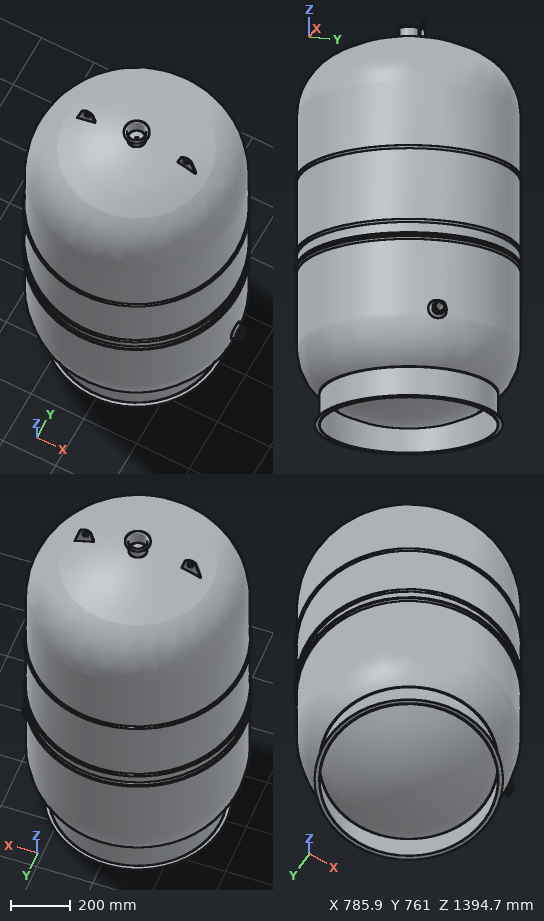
import cadquery as cq
import math

HEIGHT = 1394.67
SHELL_RADIUS = 750 / 2
SHELL_BOTTOM = 271.0
SHELL_TOP = 1087.0
DISH_HEIGHT = 255.0
KNUCKLE_RADIUS = 213.0
VESSEL_TOP = SHELL_TOP + DISH_HEIGHT
VESSEL_BOTTOM = SHELL_BOTTOM - DISH_HEIGHT

KNUCKLE_CENTRE = SHELL_RADIUS - KNUCKLE_RADIUS
CROWN_RADIUS = (KNUCKLE_CENTRE**2 + DISH_HEIGHT**2 - KNUCKLE_RADIUS**2) / (
    2 * (DISH_HEIGHT - KNUCKLE_RADIUS)
)
CROWN_HALF_ANGLE = math.asin(KNUCKLE_CENTRE / (CROWN_RADIUS - KNUCKLE_RADIUS))

BEAD_RADIUS = 5.5
BEAD_HEIGHTS = (597.0, 857.0)
SEAM_HEIGHT = 544.0
SEAM_WIDTH = 24.0
SEAM_RIM_WIDTH = 7.0
SEAM_RIM_RISE = BEAD_RADIUS

SKIRT_RADIUS = 600.01 / 2
SKIRT_WALL = 2.0
SKIRT_FLANGE_RADIUS = 630.01 / 2
SKIRT_FLANGE_THICKNESS = 2.0

NECK_RADIUS = 65.34 / 2
NECK_WALL = 1.0
NECK_BORE_RADIUS = NECK_RADIUS - NECK_WALL
LIP_RADIUS = 86.81 / 2
NECK_TAPER_TOP = 1355.0
NECK_TAPER = 1.0

VALVE_SEAT_RADIUS = 12.26 / 2
VALVE_SEAT_DEPTH = 4.0
VALVE_BORE_RADIUS = 8 / 2
VALVE_BORE_DEPTH = 20.0

LUG_OFFSET = 187.0
LUG_EYE_HEIGHT = 1344.0
LUG_THICKNESS = 5.0
LUG_EYE_RADIUS = 18 / 2
LUG_HEAD_RADIUS = 22.0
LUG_FLANK_ANGLE = math.radians(16)
LUG_DEPTH = 70.0

PORT_HEIGHT = 289.0
PORT_REACH = 30.4
PORT_RADIUS = 41.91 / 2
PORT_BORE_RADIUS = 30.25 / 2
PORT_BORE_DEPTH = 60.0
COLLAR_RADIUS = 32.0
COLLAR_LENGTH = 11.0
THREAD_PITCH = 2.309
THREAD_DEPTH = 1.479
THREAD_COUNT = 8


def head_point(centre_radius, arc_radius, angle):
    """Radius and rise of a point on a head arc, at an angle measured from the vessel axis."""
    return centre_radius + arc_radius * math.sin(angle), arc_radius * math.cos(angle)


def crown_height(radius):
    """Height of the upper crown at a distance from the vessel axis."""
    return VESSEL_TOP - CROWN_RADIUS + math.sqrt(CROWN_RADIUS**2 - radius**2)


def make_vessel_blank():
    """Solid of revolution of the shell and both dished heads."""
    joint_radius, joint_rise = head_point(KNUCKLE_CENTRE, KNUCKLE_RADIUS, CROWN_HALF_ANGLE)
    knuckle_radius, knuckle_rise = head_point(
        KNUCKLE_CENTRE, KNUCKLE_RADIUS, (CROWN_HALF_ANGLE + math.pi / 2) / 2
    )
    crown_radius, crown_rise = head_point(0, CROWN_RADIUS, CROWN_HALF_ANGLE / 2)
    crown_rise += DISH_HEIGHT - CROWN_RADIUS
    return (
        cq.Workplane("XZ")
        .moveTo(0, VESSEL_BOTTOM)
        .threePointArc((crown_radius, SHELL_BOTTOM - crown_rise), (joint_radius, SHELL_BOTTOM - joint_rise))
        .threePointArc((knuckle_radius, SHELL_BOTTOM - knuckle_rise), (SHELL_RADIUS, SHELL_BOTTOM))
        .lineTo(SHELL_RADIUS, SHELL_TOP)
        .threePointArc((knuckle_radius, SHELL_TOP + knuckle_rise), (joint_radius, SHELL_TOP + joint_rise))
        .threePointArc((crown_radius, SHELL_TOP + crown_rise), (0, VESSEL_TOP))
        .close()
        .revolve(360, (0, 0, 0), (0, 1, 0))
    )


def make_bead(height):
    """Half-round bead around the shell."""
    return (
        cq.Workplane("XZ")
        .moveTo(0, height - BEAD_RADIUS)
        .lineTo(SHELL_RADIUS, height - BEAD_RADIUS)
        .threePointArc((SHELL_RADIUS + BEAD_RADIUS, height), (SHELL_RADIUS, height + BEAD_RADIUS))
        .lineTo(0, height + BEAD_RADIUS)
        .close()
        .revolve(360, (0, 0, 0), (0, 1, 0))
    )


def make_seam():
    """Raised seam band with conical flanks that lead up to a flat rim."""
    half = SEAM_WIDTH / 2
    rim_half = SEAM_RIM_WIDTH / 2
    rim_radius = SHELL_RADIUS + SEAM_RIM_RISE
    return (
        cq.Workplane("XZ", origin=(0, 0, SEAM_HEIGHT))
        .moveTo(0, -half)
        .lineTo(SHELL_RADIUS, -half)
        .lineTo(rim_radius, -rim_half)
        .lineTo(rim_radius, rim_half)
        .lineTo(SHELL_RADIUS, half)
        .lineTo(0, half)
        .close()
        .revolve(360, (0, 0, 0), (0, 1, 0))
    )


def make_port():
    """Threaded stub with a conical collar, reaching from inside the shell along +X."""
    tip = SHELL_RADIUS + PORT_REACH
    root_radius = PORT_RADIUS - THREAD_DEPTH
    thread_start = tip - THREAD_COUNT * THREAD_PITCH
    inner_end = SHELL_RADIUS - PORT_BORE_DEPTH
    outline = (
        cq.Workplane("XY", origin=(0, 0, PORT_HEIGHT))
        .moveTo(inner_end, 0)
        .lineTo(inner_end, COLLAR_RADIUS)
        .lineTo(SHELL_RADIUS, COLLAR_RADIUS)
        .lineTo(SHELL_RADIUS + COLLAR_LENGTH, PORT_RADIUS)
        .lineTo(thread_start, PORT_RADIUS)
    )
    for turn in range(THREAD_COUNT):
        crest = thread_start + turn * THREAD_PITCH
        outline = outline.lineTo(crest + THREAD_PITCH / 2, root_radius)
        outline = outline.lineTo(crest + THREAD_PITCH, PORT_RADIUS)
    return outline.lineTo(tip, 0).close().revolve(360, (0, 0, 0), (1, 0, 0))


def make_vessel():
    vessel = make_vessel_blank()
    for height in BEAD_HEIGHTS:
        vessel = vessel.union(make_bead(height))
    vessel = vessel.union(make_seam()).union(make_port())
    port_bore = (
        cq.Workplane("YZ", origin=(SHELL_RADIUS + PORT_REACH, 0, PORT_HEIGHT))
        .circle(PORT_BORE_RADIUS)
        .extrude(-PORT_REACH - PORT_BORE_DEPTH)
    )
    crown = cq.Workplane("XY", origin=(0, 0, VESSEL_TOP))
    valve_seat = crown.circle(VALVE_SEAT_RADIUS).extrude(-VALVE_SEAT_DEPTH)
    valve_bore = crown.circle(VALVE_BORE_RADIUS).extrude(-VALVE_BORE_DEPTH)
    return vessel.cut(port_bore).cut(valve_seat).cut(valve_bore)


def make_skirt():
    """Thin ring with a flat foot flange, trimmed on top by the lower head."""
    ring = cq.Workplane("XY").circle(SKIRT_RADIUS).extrude(SHELL_BOTTOM)
    flange = cq.Workplane("XY").circle(SKIRT_FLANGE_RADIUS).extrude(SKIRT_FLANGE_THICKNESS)
    bore = cq.Workplane("XY").circle(SKIRT_RADIUS - SKIRT_WALL).extrude(SHELL_BOTTOM)
    shell_space = (
        cq.Workplane("XY", origin=(0, 0, SHELL_BOTTOM)).circle(SHELL_RADIUS).extrude(-DISH_HEIGHT)
    )
    head_space = shell_space.intersect(make_vessel_blank())
    return ring.union(flange).cut(bore).cut(head_space)


def make_neck():
    """Thin sleeve, tapered at its foot, which follows the crown it stands on."""
    lip_outer = (LIP_RADIUS - NECK_BORE_RADIUS) / 2
    lip_inner = lip_outer - NECK_WALL
    lip_centre = NECK_BORE_RADIUS + lip_outer
    lip_base = HEIGHT - lip_outer
    foot_inner = NECK_BORE_RADIUS - NECK_TAPER
    foot_middle = foot_inner + NECK_WALL / 2
    foot_outer = foot_inner + NECK_WALL
    return (
        cq.Workplane("XZ")
        .moveTo(foot_inner, crown_height(foot_inner))
        .threePointArc((foot_middle, crown_height(foot_middle)), (foot_outer, crown_height(foot_outer)))
        .lineTo(NECK_RADIUS, NECK_TAPER_TOP)
        .lineTo(NECK_RADIUS, lip_base)
        .threePointArc((lip_centre, lip_base + lip_inner), (lip_centre + lip_inner, lip_base))
        .lineTo(LIP_RADIUS, lip_base)
        .threePointArc((lip_centre, HEIGHT), (NECK_BORE_RADIUS, lip_base))
        .lineTo(NECK_BORE_RADIUS, NECK_TAPER_TOP)
        .close()
        .revolve(360, (0, 0, 0), (0, 1, 0))
    )


def make_lug(side):
    """Plate with a round head and flanks tangent to it, trimmed below by the upper head."""
    tangent_x = LUG_HEAD_RADIUS * math.cos(LUG_FLANK_ANGLE)
    tangent_z = LUG_HEAD_RADIUS * math.sin(LUG_FLANK_ANGLE)
    foot_x = tangent_x + (LUG_DEPTH + tangent_z) * math.tan(LUG_FLANK_ANGLE)
    plate = (
        cq.Workplane("XZ", origin=(side * LUG_OFFSET, 0, LUG_EYE_HEIGHT))
        .moveTo(-foot_x, -LUG_DEPTH)
        .lineTo(-tangent_x, tangent_z)
        .threePointArc((0, LUG_HEAD_RADIUS), (tangent_x, tangent_z))
        .lineTo(foot_x, -LUG_DEPTH)
        .close()
        .extrude(LUG_THICKNESS / 2, both=True)
    )
    eye = (
        cq.Workplane("XZ", origin=(side * LUG_OFFSET, 0, LUG_EYE_HEIGHT))
        .circle(LUG_EYE_RADIUS)
        .extrude(LUG_THICKNESS, both=True)
    )
    return plate.cut(eye).cut(make_vessel_blank())


vessel = make_vessel()
skirt = make_skirt()
neck = make_neck()
lugs = [make_lug(side) for side in (-1, 1)]

result = cq.Compound.makeCompound([vessel.val(), skirt.val(), neck.val(), *[lug.val() for lug in lugs]])